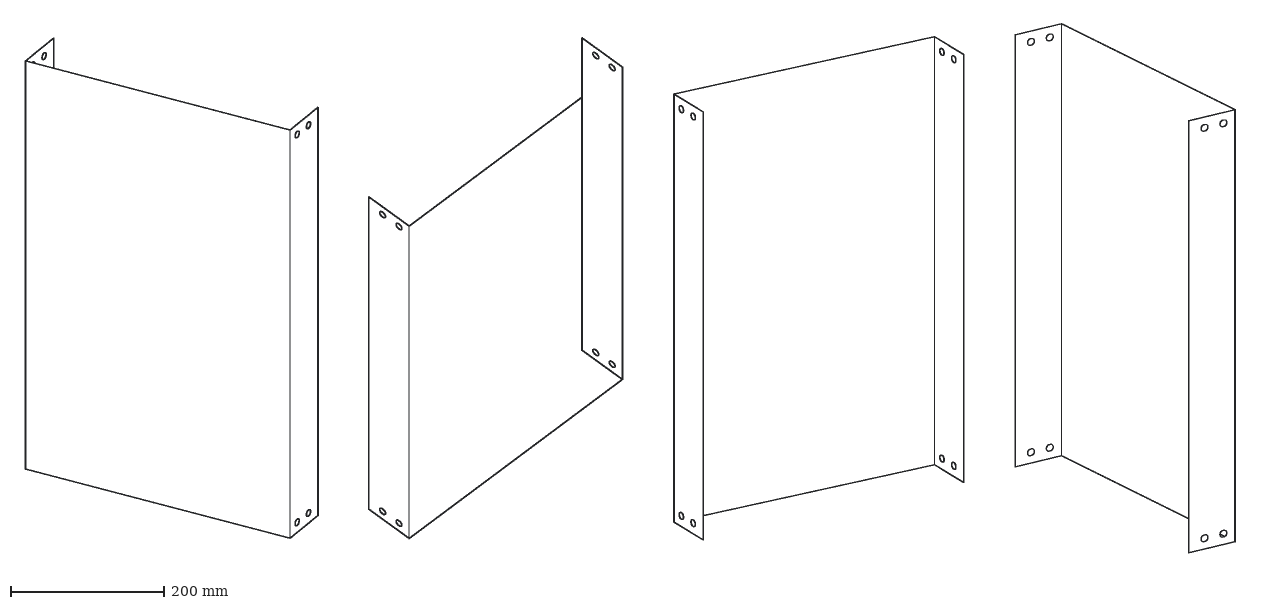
import cadquery as cq

width = 397.0
depth = 74.5
height = 600.0
sheet = 1.0

slot_length = 11.0
slot_height = 9.0
slot_end_inset = 15.0
slot_front_inset = 19.0
slot_spacing = 30.0


def make_panel():
    """Front sheet with a square-cornered flange along each side, centered in X and Z."""
    outer = cq.Workplane("XY").box(width, depth, height, centered=(True, False, True))
    inner = (
        cq.Workplane("XY")
        .box(width - 2 * sheet, depth - sheet, height, centered=(True, False, True))
        .translate((0, sheet, 0))
    )
    return outer.cut(inner)


def make_slots():
    """Slots near both ends of the flanges, passing through both flanges."""
    end_offset = height / 2 - slot_end_inset
    centers = [
        (slot_front_inset + i * slot_spacing, z)
        for i in range(2)
        for z in (-end_offset, end_offset)
    ]
    return (
        cq.Workplane("YZ")
        .pushPoints(centers)
        .slot2D(slot_length, slot_height)
        .extrude(width, both=True)
    )


result = make_panel().cut(make_slots())